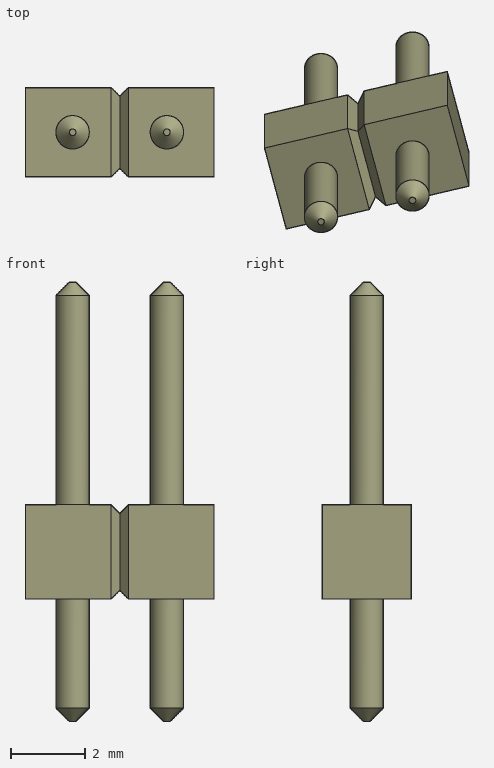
import cadquery as cq

pin_count = 2
pitch = 2.54
housing_width = 2.41
housing_height = 2.54
notch_depth = 0.23

pin_diameter = 0.9
pin_above = 6.0
pin_below = 3.3
pin_length = pin_below + housing_height + pin_above
tip_chamfer = 0.36

pin_positions = [(i - (pin_count - 1) / 2) * pitch for i in range(pin_count)]


def make_block(x, joined_left, joined_right):
    """Housing block for the pin at x, chamfered around each face that joins a neighbour."""
    block = (
        cq.Workplane("XY")
        .box(pitch, housing_width, housing_height, centered=(True, True, False))
    )
    if joined_left:
        block = block.faces("<X").chamfer(notch_depth)
    if joined_right:
        block = block.faces(">X").chamfer(notch_depth)
    pin_hole = cq.Workplane("XY").circle(pin_diameter / 2).extrude(housing_height)
    return block.cut(pin_hole).translate((x, 0, 0))


def make_housing():
    """Row of blocks fused into one solid at their joint faces."""
    housing_body = cq.Workplane("XY")
    for i, x in enumerate(pin_positions):
        block = make_block(x, joined_left=i > 0, joined_right=i < pin_count - 1)
        housing_body = housing_body.add(block)
    return housing_body.combine().solids()


def make_pin(x):
    """Pin standing along Z at x, reaching below and above the housing."""
    return (
        cq.Workplane("XY", origin=(x, 0, -pin_below))
        .circle(pin_diameter / 2)
        .extrude(pin_length)
        .faces("<Z or >Z")
        .chamfer(tip_chamfer)
    )


housing = make_housing()
pins = [make_pin(x) for x in pin_positions]

result = cq.Compound.makeCompound([housing.val(), *[pin.val() for pin in pins]])